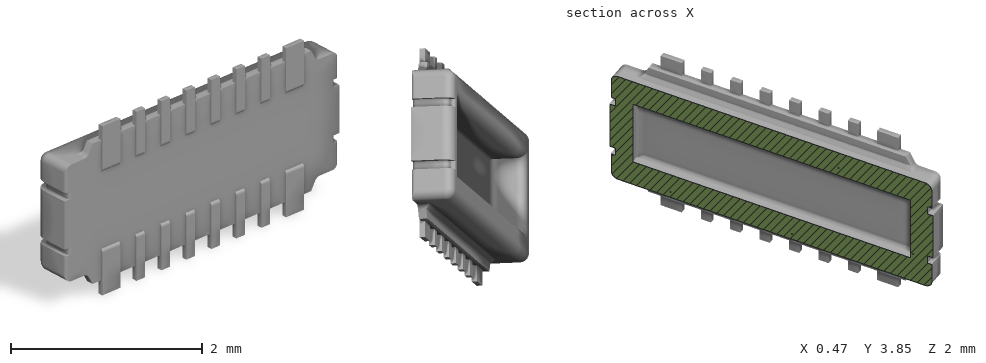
import cadquery as cq
import math


DEPTH = 0.45
HALF_HEIGHT = 0.69
TAB_HALF_LENGTH = 1.925
TAB_STEP = 0.015
HALF_LENGTH = TAB_HALF_LENGTH - TAB_STEP
FRONT_ROUND = 0.1
CORNER_ROUND = 0.085
TAB_FRONT_ROUND = 0.125
BACK_END_ROUND = 0.035

TAB_HALF_HEIGHT = 0.285
NOTCH_WIDTH = 0.09
NOTCH_CENTER = TAB_HALF_HEIGHT + NOTCH_WIDTH / 2
NOTCH_DEPTH = 0.05
NOTCH_INNER_Y = HALF_LENGTH - FRONT_ROUND
CORE_HALF_LENGTH = HALF_LENGTH - NOTCH_DEPTH
CORE_FRONT_ROUND = TAB_FRONT_ROUND - NOTCH_DEPTH

POCKET_HALF_LENGTH = 1.747
POCKET_HALF_HEIGHT = 0.482
POCKET_DEPTH = 0.365
POCKET_RIM_ROUND = 0.1
POCKET_END_FLOOR_ROUND = 0.07
POCKET_SIDE_FLOOR_ROUND = 0.03

FLANGE_THICKNESS = 0.09
FLANGE_FRONT = DEPTH - FLANGE_THICKNESS
FLANGE_HALF_HEIGHT = 0.83
FLANGE_TIP_HALF_LENGTH = 1.53
FLANGE_ROOT_HALF_LENGTH = 1.607
FLANGE_FRONT_BEVEL = 0.043
FLANGE_END_ROUND = 0.08
FLANGE_ROOT_Z = HALF_HEIGHT - FRONT_ROUND

TERMINAL_FRONT = 0.41
TERMINAL_BACK = 0.47
TERMINAL_INNER_Z = 0.447
TERMINAL_OUTER_Z = 1.0
TERMINAL_BEND_ROUND = 0.05
SIGNAL_COUNT = 6
SIGNAL_PITCH = 0.35
SIGNAL_WIDTH = 0.12
END_TERMINAL_WIDTH = 0.25
END_TERMINAL_CENTER = 1.2875


def box(x_range, y_range, z_range):
    """Axis-aligned box between the given limits."""
    ranges = (x_range, y_range, z_range)
    sizes = [high - low for low, high in ranges]
    corner = tuple(low for low, high in ranges)
    return cq.Workplane("XY").box(*sizes, centered=False).translate(corner)


def centered_bar(front, half_length, half_height):
    """Box from the given front to the housing back, centered in Y and Z."""
    return box((front, DEPTH), (-half_length, half_length), (-half_height, half_height))


def both_sides(shape):
    """The shape together with its mirror image below Z = 0."""
    return shape.union(shape.mirror("XY"))


def make_shell():
    """Housing block with rounded front outline, corners and back end edges."""
    block = centered_bar(0, HALF_LENGTH, HALF_HEIGHT)
    rounded_back = block.edges(">X and |Z").fillet(BACK_END_ROUND)
    rounded_front = block.edges("|X").fillet(CORNER_ROUND).faces("<X").edges().fillet(FRONT_ROUND)
    return rounded_front.intersect(rounded_back)


def make_tab_band():
    """Full-length middle band of the housing, still with sharp ends."""
    return centered_bar(0, TAB_HALF_LENGTH, TAB_HALF_HEIGHT)


def make_end_tabs():
    """Middle band whose rounded ends are the two tabs between the notches."""
    return make_tab_band().edges("<X and |Z").fillet(TAB_FRONT_ROUND)


def make_notches():
    """Cutter for the four notches, stopping at the rounded core."""
    core = centered_bar(NOTCH_DEPTH, CORE_HALF_LENGTH, HALF_HEIGHT)
    core = core.edges("<X and |Z").fillet(CORE_FRONT_ROUND)
    core = core.edges(">X and |Z").fillet(BACK_END_ROUND)
    cutter = cq.Workplane("XY")
    for z_center in (-NOTCH_CENTER, NOTCH_CENTER):
        z_range = (z_center - NOTCH_WIDTH / 2, z_center + NOTCH_WIDTH / 2)
        cutter = cutter.union(box((0, DEPTH), (NOTCH_INNER_Y, TAB_HALF_LENGTH), z_range))
        cutter = cutter.union(box((0, DEPTH), (-TAB_HALF_LENGTH, -NOTCH_INNER_Y), z_range))
    return cutter.cut(core)


def pocket_prism(plane, half_width, floor_edges, floor_round, half_run):
    """Pocket cross-section with depth along X, swept to both sides of the plane.

    The mouth flares out along a convex quarter round and the floor edges are filleted.
    """
    wall = half_width - POCKET_RIM_ROUND
    section = (
        cq.Workplane(plane)
        .moveTo(0, -half_width)
        .radiusArc((POCKET_RIM_ROUND, -wall), POCKET_RIM_ROUND)
        .lineTo(POCKET_DEPTH, -wall)
        .lineTo(POCKET_DEPTH, wall)
        .lineTo(POCKET_RIM_ROUND, wall)
        .radiusArc((0, half_width), POCKET_RIM_ROUND)
        .close()
    )
    prism = section.extrude(half_run, both=True)
    return prism.edges(floor_edges).fillet(floor_round)


def make_pocket():
    """Cutter for the front pocket: the overlap of its lengthwise and crosswise prisms."""
    lengthwise = pocket_prism(
        "XY", POCKET_HALF_LENGTH, ">X and |Z", POCKET_END_FLOOR_ROUND, HALF_HEIGHT
    )
    crosswise = pocket_prism(
        "XZ", POCKET_HALF_HEIGHT, ">X and |Y", POCKET_SIDE_FLOOR_ROUND, HALF_LENGTH
    )
    return lengthwise.intersect(crosswise)


def make_flange():
    """Upper flange: its outline across Y and Z overlapped with its profile across X and Z."""
    rise = FLANGE_HALF_HEIGHT - HALF_HEIGHT
    run = FLANGE_ROOT_HALF_LENGTH - FLANGE_TIP_HALF_LENGTH
    slope = math.atan2(rise, run)
    tangent = FLANGE_END_ROUND * math.tan(slope / 2)
    round_top_y = FLANGE_ROOT_HALF_LENGTH - tangent * math.cos(slope)
    round_top_z = HALF_HEIGHT + tangent * math.sin(slope)
    round_bottom_y = FLANGE_ROOT_HALF_LENGTH + tangent
    outline = (
        cq.Workplane("YZ")
        .moveTo(0, FLANGE_HALF_HEIGHT)
        .lineTo(FLANGE_TIP_HALF_LENGTH, FLANGE_HALF_HEIGHT)
        .lineTo(round_top_y, round_top_z)
        .radiusArc((round_bottom_y, HALF_HEIGHT), -FLANGE_END_ROUND)
        .lineTo(round_bottom_y, FLANGE_ROOT_Z)
        .lineTo(0, FLANGE_ROOT_Z)
        .mirrorY()
        .extrude(DEPTH)
    )
    profile = (
        cq.Workplane("XZ")
        .moveTo(DEPTH, FLANGE_ROOT_Z)
        .lineTo(DEPTH, FLANGE_HALF_HEIGHT)
        .lineTo(FLANGE_FRONT, FLANGE_HALF_HEIGHT)
        .lineTo(FLANGE_FRONT, HALF_HEIGHT + FLANGE_FRONT_BEVEL)
        .lineTo(FLANGE_FRONT - FLANGE_FRONT_BEVEL, HALF_HEIGHT)
        .lineTo(FLANGE_FRONT - FLANGE_FRONT_BEVEL, FLANGE_ROOT_Z)
        .close()
        .extrude(HALF_LENGTH, both=True)
    )
    return outline.intersect(profile)


def make_terminal(y_center, width):
    """One upper terminal, rounded where it bends into the housing back."""
    bar = box(
        (TERMINAL_FRONT, TERMINAL_BACK),
        (y_center - width / 2, y_center + width / 2),
        (TERMINAL_INNER_Z, TERMINAL_OUTER_Z),
    )
    return bar.edges(">X and <Z").fillet(TERMINAL_BEND_ROUND)


def make_terminals():
    """Upper row: evenly pitched signal terminals between two wider end terminals."""
    row = make_terminal(-END_TERMINAL_CENTER, END_TERMINAL_WIDTH)
    row = row.union(make_terminal(END_TERMINAL_CENTER, END_TERMINAL_WIDTH))
    for index in range(SIGNAL_COUNT):
        y_center = (index - (SIGNAL_COUNT - 1) / 2) * SIGNAL_PITCH
        row = row.union(make_terminal(y_center, SIGNAL_WIDTH))
    return row


housing = make_shell().cut(make_tab_band()).union(make_end_tabs())
housing = housing.cut(make_notches()).cut(make_pocket())
result = housing.union(both_sides(make_flange())).union(both_sides(make_terminals()))